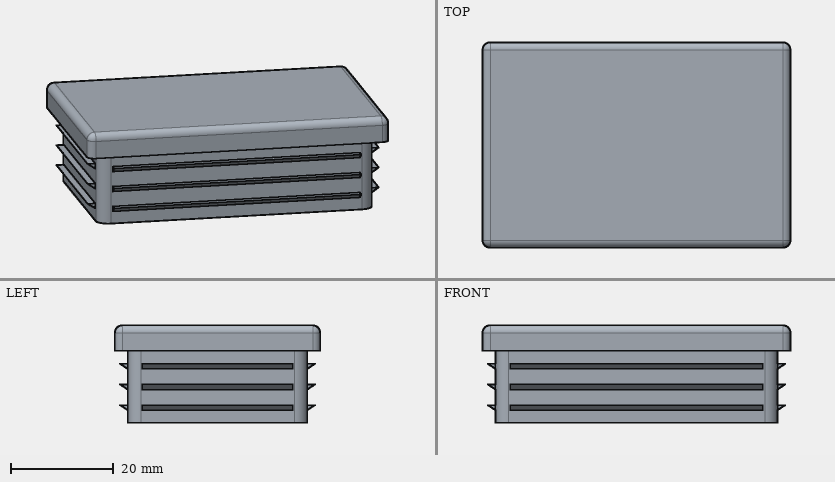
import cadquery as cq

length = 60.0
width = 40.0
height = 19.0
cap_thickness = 5.0
cap_radius = 1.5

body_inset = 2.5
body_radius = 2.5
body_length = length - 2 * body_inset
body_width = width - 2 * body_inset
body_height = height - cap_thickness

rib_count = 3
rib_pitch = 4.0
rib_reach = 1.5
rib_height = 1.0
rib_end_gap = 0.35
first_rib_drop = 2.5
rib_root = 0.3


def make_cap():
    """Rounded plate with spherical upper corners and a sharp lower edge."""
    cap = cq.Workplane("XY").workplane(offset=body_height)
    cap = cap.rect(length, width).extrude(cap_thickness)
    return cap.edges("|Z or >Z").fillet(cap_radius)


def make_body():
    body = cq.Workplane("XY").rect(body_length, body_width).extrude(body_height)
    return body.edges("|Z").fillet(body_radius)


def make_rib(face_distance, face_length, top_z):
    """Rib along Y on a face standing at +X, kept clear of the rounded corners."""
    rib_length = face_length - 2 * (body_radius + rib_end_gap)
    return (
        cq.Workplane("XZ")
        .moveTo(face_distance - rib_root, top_z)
        .lineTo(face_distance + rib_reach, top_z)
        .lineTo(face_distance, top_z - rib_height)
        .lineTo(face_distance - rib_root, top_z - rib_height)
        .close()
        .extrude(rib_length / 2, both=True)
    )


result = make_cap().union(make_body())

for level in range(rib_count):
    rib_top = body_height - first_rib_drop - level * rib_pitch
    end_rib = make_rib(body_length / 2, body_width, rib_top)
    side_rib = make_rib(body_width / 2, body_length, rib_top)
    for rib, start_angle in ((end_rib, 0), (side_rib, 90)):
        for angle in (start_angle, start_angle + 180):
            result = result.union(rib.rotate((0, 0, 0), (0, 0, 1), angle))